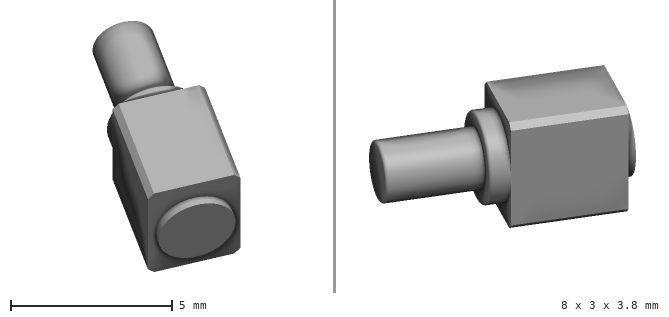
import cadquery as cq

total_length = 8.0
pin_length = 3.2
body_length = 3.8
rear_boss_length = 0.3
collar_length = total_length - pin_length - body_length - rear_boss_length

body_width = 3.0
body_height = 3.8
collar_diameter = body_width
pin_diameter = 2.0
rear_boss_diameter = 2.5

body_chamfer = 0.2
rim_fillet = body_chamfer / 2

collar_start = pin_length
body_start = collar_start + collar_length
body_end = body_start + body_length


def cylinder_along_x(start, length, diameter):
    """Solid cylinder on the X axis, growing toward +X."""
    return cq.Workplane("YZ", origin=(start, 0, 0)).circle(diameter / 2).extrude(length)


def make_body():
    """Rectangular block with its four long edges chamfered."""
    block = cq.Workplane("YZ", origin=(body_start, 0, 0)).rect(body_width, body_height).extrude(body_length)
    return block.edges("|X").chamfer(body_chamfer)


pin = cylinder_along_x(0, pin_length, pin_diameter).faces("<X").edges().fillet(rim_fillet)
collar = cylinder_along_x(collar_start, collar_length, collar_diameter).faces("<X").edges().fillet(rim_fillet)
rear_boss = cylinder_along_x(body_end, rear_boss_length, rear_boss_diameter)

result = make_body().union(collar).union(pin).union(rear_boss)